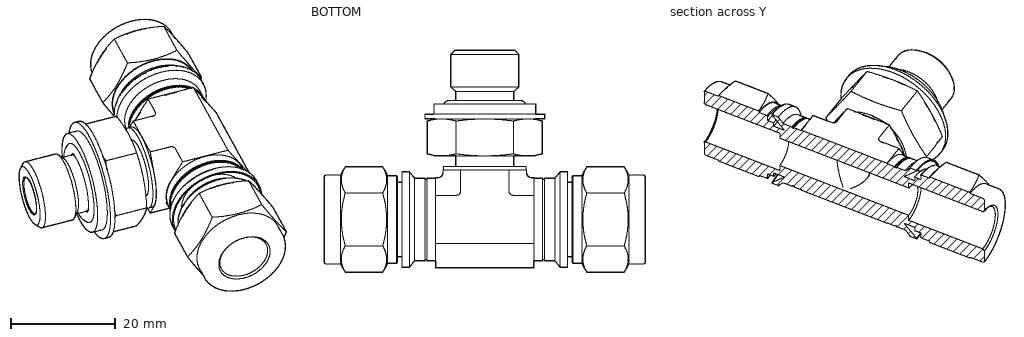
import cadquery as cq
import math

COS30 = math.cos(math.radians(30))

run_half_length = 30.6
branch_length = 32.25
bore_dia = 7.1

body_flats = 16.0
body_half_length = 9.35
body_branch_end = 9.4
crotch_radius = 0.9

arm_dia = 15.8
arm_groove_dia = 15.4
arm_groove_start = 11.0
arm_groove_end = 11.4
collar_cone_start = 13.35
collar_start = 14.4
collar_end = 15.8
collar_dia = 18.25
collar_rim_width = 0.25
dish_root_dia = 12.5
neck_dia = 14.25
neck_start = 15.35

nut_sleeve_start = 16.65
nut_sleeve_dia = 16.8
nut_sleeve_chamfer = 0.2
nut_hex_start = 18.55
nut_hex_end = 27.5
nut_flats = 17.45
nut_hex_chamfer_angle = 30
nut_rim_dia = 17.0
nut_rim_round = 0.4

socket_dia = 9.75
socket_mouth_dia = 10.5
socket_mouth_chamfer = 0.35
socket_bottom = 14.1

branch_shoulder_dia = 15.8
branch_shoulder_end = 10.1
stem_dia = 11.1
locknut_start = 12.1
locknut_end = 19.15
locknut_flats = 19.05
locknut_chamfer_angle = 15
washer_dia = 22.9
washer_end = 20.1
retainer_dia = 19.5
retainer_end = 22.05
thread_start = 24.4
thread_dia = 13.05
thread_chamfer = 0.9
thread_end_chamfer = 0.8
bore_mouth_chamfer = 0.2

seal_outer_dia = 15.8
seal_end = 22.7

RUN_PLANE = cq.Plane(origin=(0, 0, 0), xDir=(0, 1, 0), normal=(1, 0, 0))
BRANCH_PLANE = cq.Plane(origin=(0, 0, 0), xDir=(1, 0, 0), normal=(0, -1, 0))


def revolve_profile(points, plane):
    """Revolve (radius, position) points, closed along the axis, about the normal of a plane."""
    start, end = points[0][1], points[-1][1]
    outline = [(0, start)] + points + [(0, end)]
    solid = cq.Workplane("XZ").polyline(outline).close().revolve(360, (0, 0), (0, 1)).val()
    return cq.Workplane(solid.located(plane.location))


def hex_bar(flats, start, end, plane):
    """Hexagonal bar along the normal of a plane, with two flats facing +Z and -Z."""
    return cq.Workplane(plane).workplane(offset=start).polygon(6, flats / COS30).extrude(end - start)


def chamfered_hex(flats, start, end, face_dia, angle, plane):
    """Hexagonal bar whose corners are turned off conically at both ends."""
    face_radius = face_dia / 2
    corner_radius = flats / COS30 / 2
    drop = (corner_radius - face_radius) * math.tan(math.radians(angle))
    envelope = revolve_profile(
        [
            (face_radius, start),
            (corner_radius, start + drop),
            (corner_radius, end - drop),
            (face_radius, end),
        ],
        plane,
    )
    return hex_bar(flats, start, end, plane).intersect(envelope)


def rounded_hex_bar(flats, start, end, plane):
    """Hexagonal bar with its two side corners rounded to the inscribed circle."""
    half = flats / 2
    flat_half_width = half * math.tan(math.radians(30))
    tangent_x = half * COS30
    tangent_y = half / 2
    return (
        cq.Workplane(plane)
        .workplane(offset=start)
        .moveTo(-flat_half_width, half)
        .lineTo(flat_half_width, half)
        .lineTo(tangent_x, tangent_y)
        .threePointArc((half, 0), (tangent_x, -tangent_y))
        .lineTo(flat_half_width, -half)
        .lineTo(-flat_half_width, -half)
        .lineTo(-tangent_x, -tangent_y)
        .threePointArc((-half, 0), (-tangent_x, tangent_y))
        .close()
        .extrude(end - start)
    )


def tee_body():
    """Sharp-backed hexagonal run joined to a rounded hexagonal branch with filleted crotches."""
    run = rounded_hex_bar(body_flats, -body_half_length, body_half_length, RUN_PLANE)
    branch = rounded_hex_bar(body_flats, 0, body_branch_end, BRANCH_PLANE)
    crotch_reach = body_flats / 2 + 0.05
    body = run.union(branch)
    crotch = cq.selectors.BoxSelector(
        (-crotch_reach, -crotch_reach, -crotch_reach), (crotch_reach, 0, crotch_reach)
    )
    body = body.edges(crotch).edges("not(#Z or |X or |Y)").fillet(crotch_radius)
    back = hex_bar(body_flats, -body_half_length, body_half_length, RUN_PLANE)
    back_half = cq.Workplane().box(
        2 * run_half_length, body_flats, 2 * body_flats, centered=(True, False, True)
    )
    return body.union(back.intersect(back_half))


def run_arm():
    """Right-hand arm: turned body end, 45 degree dished collar, neck and tube nut."""
    dish_radius = collar_dia / 2 - collar_rim_width
    dish_bottom = collar_end - (dish_radius - dish_root_dia / 2)
    turned = revolve_profile(
        [
            (arm_dia / 2, 0),
            (arm_dia / 2, arm_groove_start),
            (arm_groove_dia / 2, arm_groove_start),
            (arm_groove_dia / 2, arm_groove_end),
            (arm_dia / 2, arm_groove_end),
            (arm_dia / 2, collar_cone_start),
            (collar_dia / 2, collar_start),
            (collar_dia / 2, collar_end),
            (dish_radius, collar_end),
            (dish_root_dia / 2, dish_bottom),
            (dish_root_dia / 2, neck_start),
            (neck_dia / 2, neck_start),
            (neck_dia / 2, nut_sleeve_start),
        ],
        RUN_PLANE,
    )
    sleeve = revolve_profile(
        [
            (nut_sleeve_dia / 2 - nut_sleeve_chamfer, nut_sleeve_start),
            (nut_sleeve_dia / 2, nut_sleeve_start + nut_sleeve_chamfer),
            (nut_sleeve_dia / 2, nut_hex_end),
        ],
        RUN_PLANE,
    )
    rim = (
        cq.Workplane(RUN_PLANE)
        .workplane(offset=nut_hex_start)
        .circle(nut_rim_dia / 2)
        .extrude(run_half_length - nut_hex_start)
        .faces(">X")
        .edges()
        .fillet(nut_rim_round)
    )
    hexagon = chamfered_hex(
        nut_flats, nut_hex_start, nut_hex_end, nut_rim_dia, nut_hex_chamfer_angle, RUN_PLANE
    )
    return turned.union(sleeve).union(rim).union(hexagon)


def branch_stem():
    """Branch shoulder, stem and threaded end."""
    return revolve_profile(
        [
            (branch_shoulder_dia / 2, 0),
            (branch_shoulder_dia / 2, branch_shoulder_end),
            (stem_dia / 2, branch_shoulder_end),
            (stem_dia / 2, thread_start),
            (thread_dia / 2, thread_start + thread_chamfer),
            (thread_dia / 2, branch_length - thread_end_chamfer),
            (thread_dia / 2 - thread_end_chamfer, branch_length),
        ],
        BRANCH_PLANE,
    )


def locknut_stack():
    """Locknut, washer and retainer with a seal ring standing proud of the retainer."""
    locknut = chamfered_hex(
        locknut_flats, locknut_start, locknut_end, locknut_flats, locknut_chamfer_angle, BRANCH_PLANE
    )
    rings = revolve_profile(
        [
            (washer_dia / 2, locknut_end),
            (washer_dia / 2, washer_end),
            (retainer_dia / 2, washer_end),
            (retainer_dia / 2, retainer_end),
        ],
        BRANCH_PLANE,
    )
    seal_section_radius = (seal_outer_dia - stem_dia) / 4
    seal_centre_radius = (seal_outer_dia + stem_dia) / 4
    seal_centre = cq.Vector(0, seal_section_radius - seal_end, 0)
    seal = cq.Solid.makeTorus(
        seal_centre_radius, seal_section_radius, seal_centre, cq.Vector(0, -1, 0)
    )
    return locknut.union(rings).union(cq.Workplane(seal))


def socket():
    """Bore and tube socket of the right-hand arm."""
    return revolve_profile(
        [
            (bore_dia / 2, 0),
            (bore_dia / 2, socket_bottom),
            (socket_dia / 2, socket_bottom),
            (socket_dia / 2, run_half_length - socket_mouth_chamfer),
            (socket_mouth_dia / 2, run_half_length),
        ],
        RUN_PLANE,
    )


def branch_bore():
    """Through bore of the branch, meeting the run bore."""
    return revolve_profile(
        [
            (bore_dia / 2, 0),
            (bore_dia / 2, branch_length - bore_mouth_chamfer),
            (bore_dia / 2 + bore_mouth_chamfer, branch_length),
        ],
        BRANCH_PLANE,
    )


def both_arms(shape):
    """A right-hand arm shape together with its mirror image on the left."""
    return shape.union(shape.mirror("YZ"))


result = tee_body().union(both_arms(run_arm())).union(branch_stem()).union(locknut_stack())
result = result.cut(both_arms(socket())).cut(branch_bore())